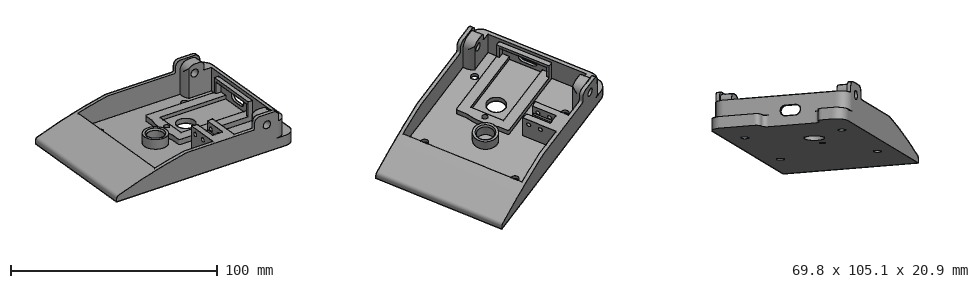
import cadquery as cq
WIDTH = 69.8
LENGTH = 105.1
HALF = WIDTH / 2
WALL = 2.0
FLOOR = 2.0
SIDE_TOP = 14.5
REAR_TOP = 15.0
REAR_Y = 99.9
CORNER_R = 6.0
INNER_HALF = HALF - WALL
INNER_REAR = REAR_Y - WALL

LIP_HEIGHT = 3.0
LIP_R = 2.0
SLOPE_MID_Y = 23.7
SLOPE_MID_Z = 10.5
CREST_Y = 41.1
POCKET_FRONT = 23.7
POCKET_FOOT_R = 1.0

FLANGE_TOP = 5.8
NOTCH_LEFT = -20.9
NOTCH_RIGHT = 8.5
NOTCH_R = (LENGTH - REAR_Y) / 2

EAR_TOP = 20.9
EAR_FRONT = 80.9
EAR_REAR = 95.0
EAR_R = 3.0
EAR_FOOT_R = 1.0
HINGE_Y = 88.1
HINGE_Z = REAR_TOP
HINGE_HOLE_D = 4.2
BOSS_R = 10.0 / 2
BOSS_WIDTH = 5.8
BOSS_CENTRE = 88.4
BOSS_REAR = 93.6
BOSS_REAR_R = 2.5
BOSS_FRONT = BOSS_CENTRE - BOSS_R
BOSS_TOP = HINGE_Z + BOSS_R
BOSS_NOSE_WIDTH = 4.0
BOSS_NOSE_DEPTH = 1.31

BED_LEFT = -20.9
BED_RIGHT = 8.2
BED_MID = (BED_LEFT + BED_RIGHT) / 2
BED_FRONT = 54.9
BED_BULGE = 1.2
BED_BULGE_HALF = 8.9
BED_CORNER_R = 0.8
TRAY_FLOOR = 2.8
BED_TOP = 4.8
TRAY_LEFT = -15.5
TRAY_RIGHT = 2.7
TRAY_FRONT = 59.7
FRAME_FRONT = 95.4
FRAME_TOP = 13.0
FRAME_EDGE = 1.5
FRAME_INNER_TOP = 11.2
FRAME_DEPTH = 3.0
SLOT_LENGTH = 10.4
SLOT_HEIGHT = 5.3
SLOT_X = -5.4
SLOT_Z = 7.5
BED_HOLE_D = 10.0
BED_HOLE_Y = 68.8
PIN_HOLE_D = 2.9
PIN_HOLE_Y = 57.5

SCREW_D = 3.9
SCREW_X = 25.0
SCREW_YS = (30.9, 80.9)
RING_Y = 46.6
RING_D = 12.8
RING_BORE = 8.8
RING_BORE_FLOOR = 1.0
RING_CHAMFER_DEPTH = 1.0
RING_MOUTH = 10.0
RING_TOP = 7.4

BRACKET_Y = 64.0
BRACKET_HALF = 6.2
BRACKET_TIP = 14.3
GAP_END_UPPER = 27.8
GAP_END_LOWER = 27.5
GAP_HALF_UPPER = 2.9
GAP_HALF_LOWER = 1.9
GAP_STEP_Z = 9.8
TIP_DRAFT = 0.4
TIP_R = 1.7
BRACKET_HOLE_D = 2.2
BRACKET_HOLE_XS = (17.7, 24.2)
BRACKET_HOLE_Z = 11.2


def box(x0, x1, y0, y1, z0, z1):
    """Axis-aligned block between two opposite corners."""
    return cq.Workplane("XY").box(x1 - x0, y1 - y0, z1 - z0, centered=False).translate((x0, y0, z0))


def post(x, y, diameter, z0, z1):
    """Upright cylinder."""
    return cq.Workplane("XY", origin=(x, y, z0)).circle(diameter / 2).extrude(z1 - z0)


def side_profile(x0):
    """Sketch plane across the part at x0: local x is Y, local y is Z, normal is +X."""
    return cq.Workplane("YZ", origin=(x0, 0, 0))


def rounded_slab(rear, height):
    """Full-width slab whose two rear corners are rounded."""
    return box(-HALF, HALF, 0, rear, 0, height).edges("|Z and >Y").fillet(CORNER_R)


def make_shell():
    """Outer body with sloped front, before hollowing."""
    profile = (
        side_profile(-HALF)
        .lineTo(0, LIP_HEIGHT)
        .threePointArc((SLOPE_MID_Y, SLOPE_MID_Z), (CREST_Y, SIDE_TOP))
        .lineTo(EAR_FRONT, SIDE_TOP)
        .lineTo(EAR_FRONT, REAR_TOP)
        .lineTo(REAR_Y, REAR_TOP)
        .lineTo(REAR_Y, 0)
        .close()
        .extrude(WIDTH)
    )
    lip = cq.selectors.NearestToPointSelector((0, 0, LIP_HEIGHT))
    profile = profile.edges(lip).fillet(LIP_R)
    return profile.intersect(rounded_slab(REAR_Y, REAR_TOP))


def make_flange():
    """Low rear flange with an S-sided notch down to the rear wall."""
    mid_y = REAR_Y + NOTCH_R
    r = NOTCH_R
    notch = (
        cq.Workplane("XY")
        .moveTo(NOTCH_LEFT - r, LENGTH)
        .radiusArc((NOTCH_LEFT, mid_y), r)
        .radiusArc((NOTCH_LEFT + r, REAR_Y), -r)
        .lineTo(NOTCH_RIGHT - r, REAR_Y)
        .radiusArc((NOTCH_RIGHT, mid_y), -r)
        .radiusArc((NOTCH_RIGHT + r, LENGTH), r)
        .close()
        .extrude(FLANGE_TOP)
    )
    slab = rounded_slab(LENGTH, FLANGE_TOP).cut(box(-HALF, HALF, 0, CREST_Y, 0, FLANGE_TOP))
    return slab.cut(notch)


def make_pocket():
    """Main cavity; its front foot is rounded."""
    pocket = box(-INNER_HALF, INNER_HALF, POCKET_FRONT, INNER_REAR, FLOOR, EAR_TOP)
    return pocket.edges("|X and <Y and <Z").fillet(POCKET_FOOT_R)


def make_ear():
    """Left hinge ear, in line with the side wall."""
    ear = box(-HALF, -INNER_HALF, EAR_FRONT, EAR_REAR, FLANGE_TOP, EAR_TOP)
    ear = ear.edges("|X and >Z").fillet(EAR_R)
    foot = (
        side_profile(-HALF)
        .moveTo(EAR_FRONT, SIDE_TOP)
        .lineTo(EAR_FRONT, SIDE_TOP + EAR_FOOT_R)
        .radiusArc((EAR_FRONT - EAR_FOOT_R, SIDE_TOP), EAR_FOOT_R)
        .close()
        .extrude(WALL)
    )
    return ear.union(foot).intersect(rounded_slab(REAR_Y, EAR_TOP))


def make_boss():
    """Left hinge boss with its base filling the rear corner of the cavity."""
    inner = -INNER_HALF + BOSS_WIDTH
    rise = (
        side_profile(-INNER_HALF)
        .moveTo(BOSS_FRONT, 0)
        .lineTo(BOSS_FRONT, HINGE_Z)
        .radiusArc((BOSS_CENTRE, BOSS_TOP), BOSS_R)
        .lineTo(BOSS_REAR - BOSS_REAR_R, BOSS_TOP)
        .radiusArc((BOSS_REAR, BOSS_TOP - BOSS_REAR_R), BOSS_REAR_R)
        .lineTo(BOSS_REAR, REAR_TOP)
        .lineTo(INNER_REAR, REAR_TOP)
        .lineTo(INNER_REAR, 0)
        .close()
        .extrude(BOSS_WIDTH)
    )
    nose_r = (BOSS_NOSE_WIDTH ** 2 + BOSS_NOSE_DEPTH ** 2) / (2 * BOSS_NOSE_DEPTH)
    plan = (
        cq.Workplane("XY")
        .moveTo(-INNER_HALF, BOSS_FRONT)
        .lineTo(inner - BOSS_NOSE_WIDTH, BOSS_FRONT)
        .radiusArc((inner, BOSS_FRONT + BOSS_NOSE_DEPTH), -nose_r)
        .lineTo(inner, INNER_REAR)
        .lineTo(-INNER_HALF, INNER_REAR)
        .close()
        .extrude(EAR_TOP)
    )
    return rise.intersect(plan)


def make_hinges():
    """Ear and boss on both sides."""
    left = make_ear().union(make_boss())
    return left.union(left.mirror("YZ"))


def make_bed():
    """Raised bed with a bulged front edge and a frame standing against the rear wall."""
    bed = (
        cq.Workplane("XY", origin=(0, 0, FLOOR))
        .moveTo(BED_LEFT, INNER_REAR)
        .lineTo(BED_LEFT, BED_FRONT)
        .lineTo(BED_MID - BED_BULGE_HALF, BED_FRONT)
        .threePointArc((BED_MID, BED_FRONT - BED_BULGE), (BED_MID + BED_BULGE_HALF, BED_FRONT))
        .lineTo(BED_RIGHT, BED_FRONT)
        .lineTo(BED_RIGHT, INNER_REAR)
        .close()
        .extrude(BED_TOP - FLOOR)
    )
    for x in (BED_LEFT, BED_RIGHT):
        corner = cq.selectors.NearestToPointSelector((x, BED_FRONT, (FLOOR + BED_TOP) / 2))
        bed = bed.edges(corner).fillet(BED_CORNER_R)
    frame = box(BED_LEFT, BED_RIGHT, FRAME_FRONT, INNER_REAR, FLOOR, FRAME_TOP)
    return bed.union(frame)


def make_bed_cuts():
    """Tray, frame window, wall slot and the two holes of the bed."""
    window_rear = FRAME_FRONT + FRAME_DEPTH
    tray = box(TRAY_LEFT, TRAY_RIGHT, TRAY_FRONT, window_rear, TRAY_FLOOR, BED_TOP)
    left = BED_LEFT + FRAME_EDGE
    right = BED_RIGHT - FRAME_EDGE
    window = box(left, right, FRAME_FRONT, window_rear, BED_TOP, FRAME_INNER_TOP)
    slot = (
        cq.Workplane("XZ", origin=(SLOT_X, REAR_Y, SLOT_Z))
        .slot2D(SLOT_LENGTH, SLOT_HEIGHT)
        .extrude(REAR_Y - FRAME_FRONT)
    )
    big_hole = post(BED_MID, BED_HOLE_Y, BED_HOLE_D, 0, BED_TOP)
    pin_hole = post(BED_MID, PIN_HOLE_Y, PIN_HOLE_D, 0, BED_TOP)
    return tray.union(window).union(slot).union(big_hole).union(pin_hole)


def make_ring():
    """Round collar standing on the floor."""
    return post(0, RING_Y, RING_D, FLOOR, RING_TOP)


def make_ring_bore():
    """Blind bore of the collar, with a steep chamfer at its mouth."""
    return (
        cq.Workplane("XZ", origin=(0, RING_Y, 0))
        .moveTo(0, RING_BORE_FLOOR)
        .lineTo(RING_BORE / 2, RING_BORE_FLOOR)
        .lineTo(RING_BORE / 2, RING_TOP - RING_CHAMFER_DEPTH)
        .lineTo(RING_MOUTH / 2, RING_TOP)
        .lineTo(0, RING_TOP)
        .close()
        .revolve(360, (0, 0), (0, 1))
    )


def make_plate():
    """Rear plate of the bracket, with a drafted, rounded tip and a stepped inner side."""
    outer = BRACKET_Y + BRACKET_HALF
    lower = BRACKET_Y + GAP_HALF_LOWER
    tip_x = BRACKET_TIP + TIP_DRAFT
    plate = (
        cq.Workplane("XY", origin=(0, 0, FLOOR))
        .moveTo(BRACKET_TIP, outer)
        .lineTo(tip_x, lower + TIP_R)
        .radiusArc((tip_x + TIP_R, lower), -TIP_R)
        .lineTo(INNER_HALF, lower)
        .lineTo(INNER_HALF, outer)
        .close()
        .extrude(SIDE_TOP - FLOOR)
    )
    upper = BRACKET_Y + GAP_HALF_UPPER
    return plate.cut(box(BRACKET_TIP, GAP_END_UPPER, lower, upper, GAP_STEP_Z, SIDE_TOP))


def make_bracket():
    """Two mirrored plates joined by a block at the side wall, with cross holes."""
    rear_plate = make_plate()
    front_plate = rear_plate.mirror("XZ", (0, BRACKET_Y, 0))
    front = BRACKET_Y - BRACKET_HALF
    rear = BRACKET_Y + BRACKET_HALF
    lower_block = box(GAP_END_LOWER, INNER_HALF, front, rear, FLOOR, GAP_STEP_Z)
    upper_block = box(GAP_END_UPPER, INNER_HALF, front, rear, GAP_STEP_Z, SIDE_TOP)
    bracket = rear_plate.union(front_plate).union(lower_block).union(upper_block)
    holes = (
        cq.Workplane("XZ", origin=(0, rear, BRACKET_HOLE_Z))
        .pushPoints([(x, 0) for x in BRACKET_HOLE_XS])
        .circle(BRACKET_HOLE_D / 2)
        .extrude(2 * BRACKET_HALF)
    )
    return bracket.cut(holes)


hinge_hole = side_profile(-HALF).center(HINGE_Y, HINGE_Z).circle(HINGE_HOLE_D / 2).extrude(WIDTH)

result = make_shell().union(make_flange()).cut(make_pocket())
result = result.union(make_hinges()).cut(hinge_hole)
result = result.union(make_bed()).cut(make_bed_cuts())
result = result.union(make_ring()).cut(make_ring_bore()).union(make_bracket())
for screw_y in SCREW_YS:
    for screw_x in (-SCREW_X, SCREW_X):
        result = result.cut(post(screw_x, screw_y, SCREW_D, 0, FLOOR))